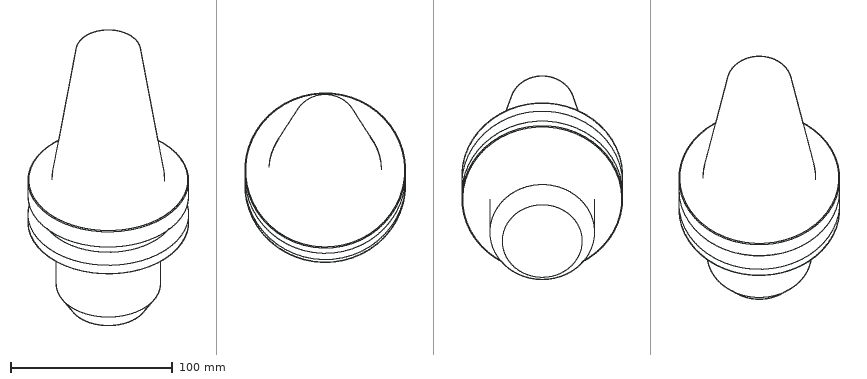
import cadquery as cq
import math

total_height = 201.8
nose_height = 13.3
flange_bottom = 62.2
flange_top = 97.0
gauge_height = 100.0
groove_center = 76.9

body_radius = 65.0 / 2
flange_radius = 99.9 / 2
groove_radius = 85.0 / 2
gauge_radius = 69.8 / 2

nose_half_angle = math.radians(30)
taper_ratio = 7 / 24
groove_side_angle = math.radians(30)
groove_floor_width = 6.0
root_fillet = 2.6
pilot_fillet = 0.6
flange_chamfer = 0.6
tip_fillet = 1.0

nose_radius = body_radius - nose_height * math.tan(nose_half_angle)
tip_radius = gauge_radius - (total_height - gauge_height) * taper_ratio / 2
groove_side_height = (flange_radius - groove_radius) * math.tan(groove_side_angle)
floor_bottom = groove_center - groove_floor_width / 2
floor_top = groove_center + groove_floor_width / 2


def make_tool_holder():
    """Revolve the half profile: nose, body, grooved flange, pilot and taper."""
    arc_midpoint_share = 1 - math.sqrt(0.5)
    arc_offset = root_fillet * arc_midpoint_share
    pilot_arc_offset = pilot_fillet * arc_midpoint_share
    profile = (
        cq.Workplane("XZ")
        .lineTo(nose_radius, 0)
        .lineTo(body_radius, nose_height)
        .lineTo(body_radius, flange_bottom - root_fillet)
        .threePointArc(
            (body_radius + arc_offset, flange_bottom - arc_offset),
            (body_radius + root_fillet, flange_bottom),
        )
        .lineTo(flange_radius - flange_chamfer, flange_bottom)
        .lineTo(flange_radius, flange_bottom + flange_chamfer)
        .lineTo(flange_radius, floor_bottom - groove_side_height)
        .lineTo(groove_radius, floor_bottom)
        .lineTo(groove_radius, floor_top)
        .lineTo(flange_radius, floor_top + groove_side_height)
        .lineTo(flange_radius, flange_top - flange_chamfer)
        .lineTo(flange_radius - flange_chamfer, flange_top)
        .lineTo(gauge_radius + pilot_fillet, flange_top)
        .threePointArc(
            (gauge_radius + pilot_arc_offset, flange_top + pilot_arc_offset),
            (gauge_radius, flange_top + pilot_fillet),
        )
        .lineTo(gauge_radius, gauge_height)
        .lineTo(tip_radius, total_height)
        .lineTo(0, total_height)
        .close()
    )
    return profile.revolve(360, (0, 0, 0), (0, 1, 0))


result = make_tool_holder().faces(">Z").edges().fillet(tip_fillet)